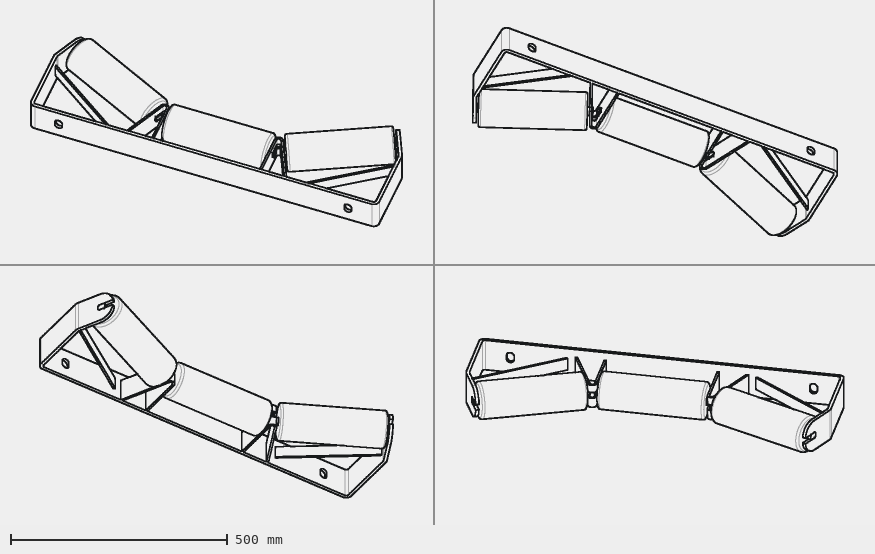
import cadquery as cq
import math


trough_angle = 25.0

frame_length = 860.0
frame_width = 78.0
frame_thickness = 8.0
corner_radius = 14.0
arm_bend_radius = 19.0
arm_bend_y = 162.5
arm_tip_y = 251.0
arm_tip_round = 34.0

mount_hole_spacing = 715.0
mount_hole_width = 18.0
mount_hole_height = 26.0

bracket_thickness = 5.0
bracket_width = 58.5
bracket_half_gap = 131.0
bracket_top_y = 130.0
bracket_bend_radius = 10.0

strut_thickness = 5.0
strut_width = 30.0
strut_angle = 35.5
strut_foot_x = 224.5
weld_depth = 1.0

roller_diameter = 89.0
roller_length = 251.0
roller_edge_round = 5.0
shaft_diameter = 20.0
shaft_flat_width = 15.0
shaft_end_play = 1.0
middle_axis_y = 101.5
wing_axis_y = 224.0
roller_drop = 7.3

lean = math.radians(trough_angle)
half_length = frame_length / 2
arm_slope = math.tan(lean)

shaft_shoulder = bracket_half_gap - shaft_end_play
shaft_half_length = bracket_half_gap + frame_thickness
slot_half_length = shaft_half_length + 4.0
slot_opening = 77.0


def both_sides(shape):
    """The +X shape and its mirror image on the -X side."""
    return [shape, shape.mirror("YZ")]


def plate(outline, width):
    """Plate of the given width, centred on Z = 0."""
    return outline.close().extrude(width).translate((0, 0, -width / 2))


def on_circle(center, radius, angle):
    """Point at an angle (radians, from +X) on a circle."""
    return (center[0] + radius * math.cos(angle), center[1] + radius * math.sin(angle))


def x_cylinder(diameter, half_length_x):
    cylinder = cq.Workplane("YZ").circle(diameter / 2).extrude(2 * half_length_x)
    return cylinder.translate((-half_length_x, 0, 0))


def half_frame_strip():
    """Half of the base with the +X arm: one strip, bent at the corner and at the lean of the arm."""
    corner_inner = corner_radius - frame_thickness
    bend_inner = arm_bend_radius - frame_thickness
    corner = (half_length - corner_radius, corner_radius)
    bend = (half_length - arm_bend_radius, arm_bend_y - arm_bend_radius * math.tan(lean / 2))
    tip_outer = (half_length - (arm_tip_y - arm_bend_y) * arm_slope, arm_tip_y)
    tip_inner = on_circle(tip_outer, -frame_thickness, lean)
    corner_middle = math.radians(-45)
    outline = (
        cq.Workplane("XY")
        .lineTo(corner[0], 0)
        .threePointArc(on_circle(corner, corner_radius, corner_middle), on_circle(corner, corner_radius, 0))
        .lineTo(*on_circle(bend, arm_bend_radius, 0))
        .threePointArc(on_circle(bend, arm_bend_radius, lean / 2), on_circle(bend, arm_bend_radius, lean))
        .lineTo(*tip_outer)
        .lineTo(*tip_inner)
        .lineTo(*on_circle(bend, bend_inner, lean))
        .threePointArc(on_circle(bend, bend_inner, lean / 2), on_circle(bend, bend_inner, 0))
        .lineTo(*on_circle(corner, corner_inner, 0))
        .threePointArc(on_circle(corner, corner_inner, corner_middle), (corner[0], frame_thickness))
        .lineTo(0, frame_thickness)
    )
    strip = plate(outline, frame_width)
    tip_face = cq.selectors.DirectionNthSelector(cq.Vector(-math.sin(lean), math.cos(lean), 0), -1)
    return strip.faces(tip_face).edges("#Z").edges("<Z or >Z").fillet(arm_tip_round)


def mount_holes():
    return (
        cq.Workplane("XZ")
        .rarray(mount_hole_spacing, 9, 2, 1)
        .slot2D(mount_hole_height, mount_hole_width, 90)
        .extrude(-frame_thickness)
    )


def bracket():
    """Hairpin bracket on the +X side: a straight leg, a round bend and a leaning leg."""
    outer = bracket_bend_radius
    inner = outer - bracket_thickness
    bend = (bracket_half_gap + outer, bracket_top_y - outer)
    top = math.radians(90)

    def leaning_foot(radius):
        """Where the leaning face tangent to the bend at this radius meets the base."""
        x, y = on_circle(bend, radius, lean)
        return (x + (y - frame_thickness) * arm_slope, frame_thickness)

    outline = (
        cq.Workplane("XY")
        .moveTo(bracket_half_gap, frame_thickness)
        .lineTo(bracket_half_gap, bend[1])
        .threePointArc(on_circle(bend, outer, top), on_circle(bend, outer, lean))
        .lineTo(*leaning_foot(outer))
        .lineTo(*leaning_foot(inner))
        .lineTo(*on_circle(bend, inner, lean))
        .threePointArc(on_circle(bend, inner, top), (bend[0] - inner, bend[1]))
        .lineTo(bend[0] - inner, frame_thickness)
    )
    return plate(outline, bracket_width).translate((0, 0, (bracket_width - frame_width) / 2))


def strut():
    """Diagonal flat bar from the base to the +X arm, cut square at its foot."""
    slope = math.radians(strut_angle)
    foot = (strut_foot_x, frame_thickness - weld_depth)
    foot_top = on_circle(foot, strut_thickness, slope + math.radians(90))
    head_x = half_length - frame_thickness + weld_depth
    head_y = foot[1] + (head_x - foot[0]) * math.tan(slope)
    head_top_y = head_y + strut_thickness / math.cos(slope)
    outline = cq.Workplane("XY").polyline([foot, (head_x, head_y), (head_x, head_top_y), foot_top])
    return plate(outline, strut_width)


def roller():
    """Roller shell and its shaft, which has two flats at each end."""
    shell = x_cylinder(roller_diameter, roller_length / 2)
    shell = shell.faces("<X or >X").edges().fillet(roller_edge_round)
    flats = cq.Workplane("XY").box(2 * shaft_half_length, shaft_diameter, shaft_flat_width)
    shaft_ends = x_cylinder(shaft_diameter, shaft_half_length).intersect(flats)
    return shell.union(x_cylinder(shaft_diameter, shaft_shoulder)).union(shaft_ends)


def shaft_slots():
    """Cutter for the slots, open towards +Y, that hold the flattened ends of one shaft."""
    length = 2 * slot_half_length
    opening = cq.Workplane("XY").box(length, slot_opening, shaft_diameter, centered=(True, False, True))
    channel = x_cylinder(shaft_diameter, slot_half_length).union(opening)
    channel = channel.intersect(cq.Workplane("XY").box(length, 2 * slot_opening, shaft_flat_width))
    between = cq.Workplane("XY").box(2 * shaft_shoulder, 2 * slot_opening, shaft_diameter)
    return channel.cut(between)


def at_middle(shape):
    return shape.translate((0, middle_axis_y, -roller_drop))


def at_wing(shape):
    """Place on the +X side: outer shoulder at the arm, inner end lower and nearer the base."""
    tilt = math.degrees(math.asin(roller_drop / (2 * bracket_half_gap)))
    arm_face_x = half_length - (wing_axis_y - arm_bend_y) * arm_slope
    shape = shape.translate((-shaft_half_length, 0, 0)).rotate((0, 0, 0), (0, 1, 0), -tilt)
    return shape.rotate((0, 0, 0), (0, 0, 1), trough_angle).translate((arm_face_x, wing_axis_y, 0))


def welded_frame():
    right_half, left_half = both_sides(half_frame_strip())
    frame = right_half.union(left_half).cut(mount_holes())
    for part in both_sides(bracket()) + both_sides(strut()):
        frame = frame.union(part)
    for slots in [at_middle(shaft_slots())] + both_sides(at_wing(shaft_slots())):
        frame = frame.cut(slots)
    return frame


frame = welded_frame().solids()
middle_roller = at_middle(roller()).solids()
wing_rollers = [wing.solids() for wing in both_sides(at_wing(roller()))]

result = cq.Compound.makeCompound(
    [frame.val(), middle_roller.val(), *[wing.val() for wing in wing_rollers]]
)